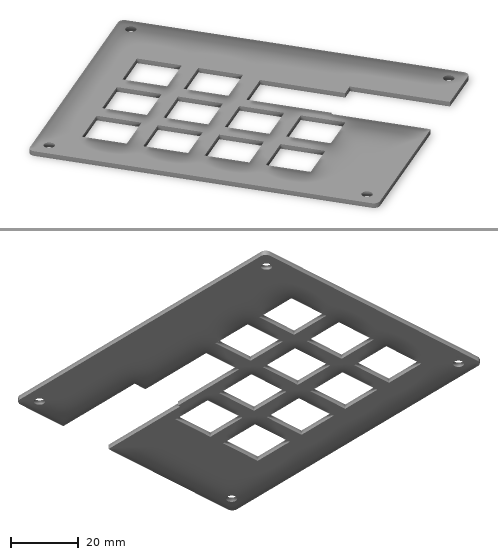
import cadquery as cq

length = 109.1
width = 87.4
thickness = 1.5
corner_radius = 2.0

hole_diameter = 3.4
hole_inset = 5.0

key_size = 14.0
key_pitch = 19.1
first_key_x = 19.5
first_key_y = 20.2
keys_per_row = (4, 4, 2)

notch_left = 51.4
notch_step_x = 77.9
inner_notch_bottom = 50.7
inner_notch_top = 63.8
outer_notch_bottom = 50.0
outer_notch_top = 68.2


def box_cutter(left, right, bottom, top):
    """Rectangular cutter through the plate thickness."""
    return cq.Workplane("XY").box(
        right - left, top - bottom, thickness, centered=False
    ).translate((left, bottom, 0))


plate = (
    cq.Workplane("XY")
    .box(length, width, thickness, centered=False)
    .edges("|Z")
    .fillet(corner_radius)
)

hole_centers = [
    (x, y)
    for x in (hole_inset, length - hole_inset)
    for y in (hole_inset, width - hole_inset)
]
holes = (
    cq.Workplane("XY")
    .pushPoints(hole_centers)
    .circle(hole_diameter / 2)
    .extrude(thickness)
)

key_centers = [
    (first_key_x + column * key_pitch, first_key_y + row * key_pitch)
    for row, key_count in enumerate(keys_per_row)
    for column in range(key_count)
]
keys = (
    cq.Workplane("XY")
    .pushPoints(key_centers)
    .rect(key_size, key_size)
    .extrude(thickness)
)

inner_notch = box_cutter(notch_left, notch_step_x, inner_notch_bottom, inner_notch_top)
outer_notch = box_cutter(notch_step_x, length, outer_notch_bottom, outer_notch_top)

result = plate.cut(holes).cut(keys).cut(inner_notch).cut(outer_notch)